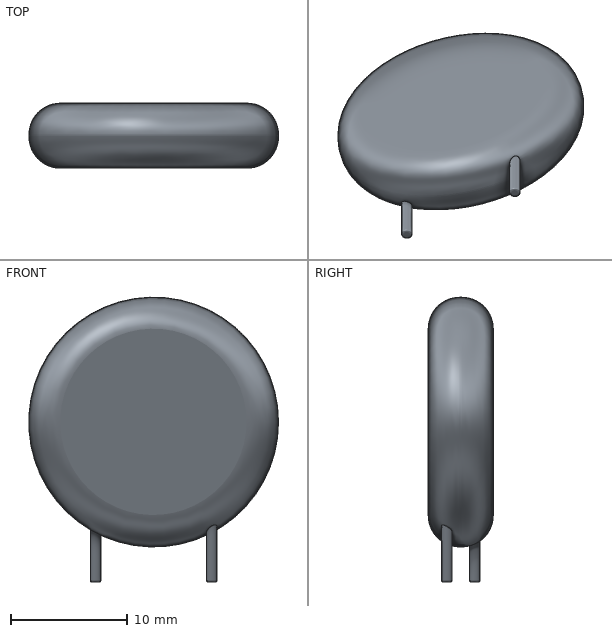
import cadquery as cq

disc_diameter = 21.5
disc_thickness = 5.6
rim_land = 0.137
rim_fillet = (disc_thickness - rim_land) / 2
disc_radius = disc_diameter / 2

lead_diameter = 0.9
lead_pitch = 10.0
lead_offset = 1.2
lead_length = 3.03
lead_tip_fillet = 0.18
lead_top = disc_radius / 2


def make_disc():
    """Disc with its axis along Y and both rim edges rounded."""
    return (
        cq.Workplane("XZ", origin=(0, 0, disc_radius))
        .circle(disc_radius)
        .extrude(disc_thickness / 2, both=True)
        .edges("%CIRCLE")
        .fillet(rim_fillet)
    )


def make_lead(x, y):
    """Vertical lead with a rounded lower tip."""
    return (
        cq.Workplane("XY", origin=(x, y, -lead_length))
        .circle(lead_diameter / 2)
        .extrude(lead_length + lead_top)
        .faces("<Z")
        .edges()
        .fillet(lead_tip_fillet)
    )


result = make_disc()
for side in (-1, 1):
    result = result.union(make_lead(side * lead_pitch / 2, -side * lead_offset))